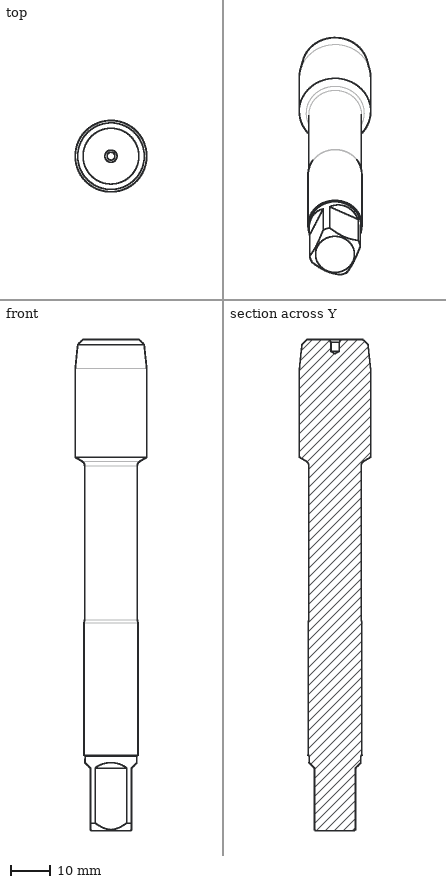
import cadquery as cq
import math

total_length = 125.0

head_radius = 18.23 / 2
head_length = 30.0
lead_length = 7.4
lead_tip_radius = 8.47
tip_chamfer_height = 1.3
tip_face_radius = 7.1

head_cone_slope = math.radians(30)
fillet_radius = 1.3

neck_radius = 13.47 / 2
shank_radius = 13.77 / 2
drive_radius = 13.22 / 2
shank_top = 53.0
neck_step_height = 0.7
shank_bottom = 19.3
shank_chamfer_height = 0.3

flat_count = 4
square_width = 10.5
square_length = 16.0
end_chamfer_height = 2.0
end_chamfer_width = 1.65

hole_radius = 2.0 / 2
hole_depth = 3.0
countersink_radius = 1.55
countersink_angle = 75.0
drill_point_angle = 120.0


def make_turned_body():
    """Revolve the stepped outline about the Z axis."""
    head_bottom = total_length - head_length
    fillet_sweep = math.pi / 2 - head_cone_slope
    fillet_centre_radius = neck_radius + fillet_radius
    fillet_outer_radius = fillet_centre_radius - fillet_radius * math.cos(fillet_sweep)
    fillet_middle_radius = fillet_centre_radius - fillet_radius * math.cos(fillet_sweep / 2)
    fillet_top = head_bottom - (head_radius - fillet_outer_radius) * math.tan(head_cone_slope)
    fillet_bottom = fillet_top - fillet_radius * math.sin(fillet_sweep)
    fillet_middle = fillet_bottom + fillet_radius * math.sin(fillet_sweep / 2)
    outline = (
        cq.Workplane("XZ")
        .moveTo(0, 0)
        .lineTo(drive_radius - end_chamfer_width, 0)
        .lineTo(drive_radius, end_chamfer_height)
        .lineTo(drive_radius, shank_bottom - shank_chamfer_height)
        .lineTo(shank_radius, shank_bottom)
        .lineTo(shank_radius, shank_top)
        .lineTo(neck_radius, shank_top + neck_step_height)
        .lineTo(neck_radius, fillet_bottom)
        .threePointArc((fillet_middle_radius, fillet_middle), (fillet_outer_radius, fillet_top))
        .lineTo(head_radius, head_bottom)
        .lineTo(head_radius, total_length - lead_length)
        .lineTo(lead_tip_radius, total_length - tip_chamfer_height)
        .lineTo(tip_face_radius, total_length)
        .lineTo(0, total_length)
        .close()
    )
    return outline.revolve(360, (0, 0, 0), (0, 1, 0))


def make_flat_cutter():
    """Material outside one flat of the square, with a 45 degree run-out at its upper end."""
    inner = square_width / 2
    outer = shank_radius
    runout_top = square_length + outer - inner
    return (
        cq.Workplane("XZ")
        .moveTo(inner, 0)
        .lineTo(outer, 0)
        .lineTo(outer, runout_top)
        .lineTo(inner, square_length)
        .close()
        .extrude(drive_radius, both=True)
    )


def make_centre_hole():
    """Countersunk blind hole with a conical bottom, entering from the tip."""
    countersink_depth = (countersink_radius - hole_radius) / math.tan(math.radians(countersink_angle / 2))
    point_depth = hole_radius / math.tan(math.radians(drill_point_angle / 2))
    return (
        cq.Workplane("XZ")
        .moveTo(0, total_length)
        .lineTo(countersink_radius, total_length)
        .lineTo(hole_radius, total_length - countersink_depth)
        .lineTo(hole_radius, total_length - hole_depth)
        .lineTo(0, total_length - hole_depth - point_depth)
        .close()
        .revolve(360, (0, 0, 0), (0, 1, 0))
    )


result = make_turned_body().cut(make_centre_hole())
flat_cutter = make_flat_cutter()
for flat_index in range(flat_count):
    angle = flat_index * 360 / flat_count
    result = result.cut(flat_cutter.rotate((0, 0, 0), (0, 0, 1), angle))